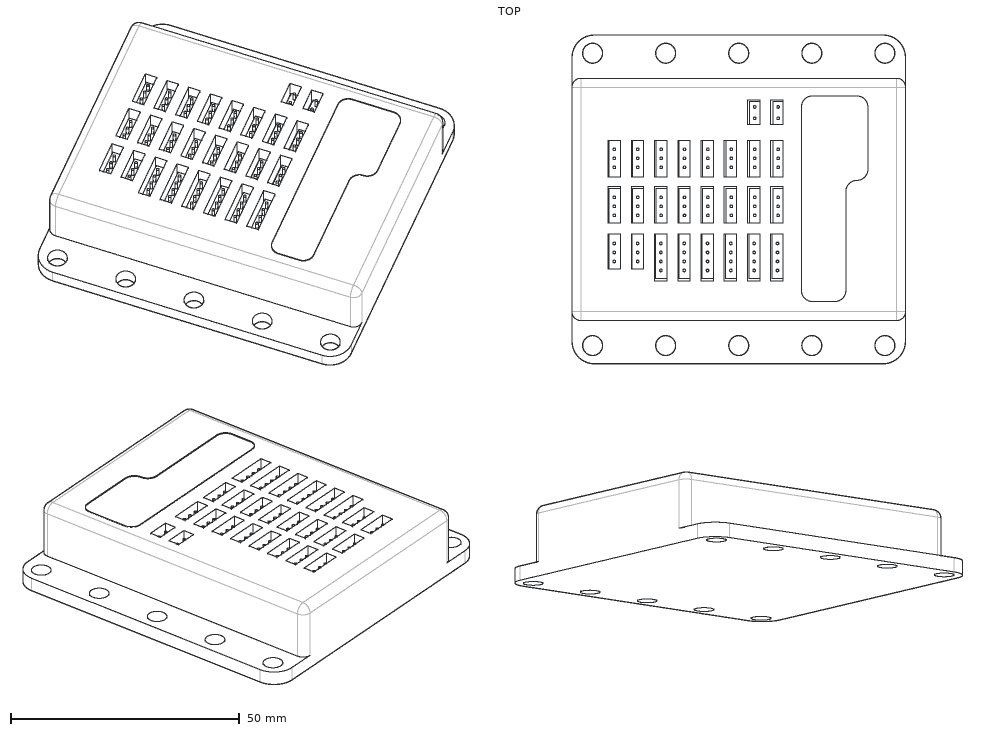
import cadquery as cq

plate_length = 73.0
plate_width = 72.0
plate_thickness = 3.2
plate_corner_radius = 5.0
mount_hole_diameter = 4.3
mount_hole_pitch = 16.0
mount_hole_columns = 5
mount_row_spacing = 63.95

total_height = 16.0
housing_width = 53.0
housing_edge_radius = 2.0

label_left = 13.7
label_right = 28.25
label_bottom = -22.35
label_top = 22.6
label_radius = 2.4
label_step_width = 2 * label_radius
label_step_y = 4.15
label_depth = 0.2

slot_width = 2.7
slot_columns = 8
first_slot_x = -27.2
last_slot_x = 8.3
slot_column_pitch = (last_slot_x - first_slot_x) / (slot_columns - 1)

connector_depth = 3.0
gap_depth = 4.4
last_connector_x = 8.6
last_low_connector_x = 8.5
connector_pitch = (last_connector_x - first_slot_x) / (slot_columns - 1)
low_connector_pitch = (last_low_connector_x - first_slot_x) / (slot_columns - 1)
pin_to_connector_side = 1.2
pin_diameter = 0.6
pin_top_depth = 1.2
fine_pin_pitch = 2.0
coarse_pin_pitch = 2.5

slot_rows = [
    dict(columns=range(6, slot_columns), top=21.75, height=5.3, gap_above=0.4, gap_below=0,
         pins=2, first_pin_y=20.2, pin_pitch=coarse_pin_pitch, column_pitch=connector_pitch),
    dict(columns=range(slot_columns), top=12.85, height=7.95, gap_above=0, gap_below=0,
         pins=3, first_pin_y=10.95, pin_pitch=fine_pin_pitch, column_pitch=connector_pitch),
    dict(columns=range(slot_columns), top=2.8, height=7.95, gap_above=0.4, gap_below=0,
         pins=3, first_pin_y=0.45, pin_pitch=fine_pin_pitch, column_pitch=connector_pitch),
    dict(columns=range(2), top=-7.5, height=7.75, gap_above=0, gap_below=0,
         pins=3, first_pin_y=-9.6, pin_pitch=fine_pin_pitch, column_pitch=low_connector_pitch),
    dict(columns=range(2, slot_columns), top=-7.5, height=10.4, gap_above=0, gap_below=0.6,
         pins=4, first_pin_y=-9.6, pin_pitch=fine_pin_pitch, column_pitch=low_connector_pitch),
]


def make_plate():
    """Rounded plate with a row of through holes along each exposed edge."""
    plate = (
        cq.Workplane("XY")
        .box(plate_length, plate_width, plate_thickness, centered=(True, True, False))
        .edges("|Z")
        .fillet(plate_corner_radius)
    )
    return (
        plate.faces(">Z")
        .workplane()
        .rarray(mount_hole_pitch, mount_row_spacing, mount_hole_columns, 2)
        .hole(mount_hole_diameter)
    )


def make_housing():
    """Block with rounded upright and top edges."""
    housing = cq.Workplane("XY").box(
        plate_length, housing_width, total_height - plate_thickness, centered=(True, True, False)
    )
    housing = housing.edges("|Z or >Z").fillet(housing_edge_radius)
    return housing.translate((0, 0, plate_thickness))


def make_label_recess():
    r = label_radius
    narrow_right = label_right - label_step_width
    return (
        cq.Workplane("XY", origin=(0, 0, total_height))
        .moveTo(label_left + r, label_bottom)
        .lineTo(narrow_right - r, label_bottom)
        .radiusArc((narrow_right, label_bottom + r), -r)
        .lineTo(narrow_right, label_step_y - r)
        .radiusArc((narrow_right + r, label_step_y), r)
        .radiusArc((label_right, label_step_y + r), -r)
        .lineTo(label_right, label_top - r)
        .radiusArc((label_right - r, label_top), -r)
        .lineTo(label_left + r, label_top)
        .radiusArc((label_left, label_top - r), -r)
        .lineTo(label_left, label_bottom + r)
        .radiusArc((label_left + r, label_bottom), -r)
        .close()
        .extrude(-label_depth)
    )


def pocket(left, right, bottom, top, depth):
    """Rectangular cutter reaching down from the housing top."""
    return (
        cq.Workplane("XY", origin=(0, 0, total_height - depth))
        .moveTo((left + right) / 2, (bottom + top) / 2)
        .rect(right - left, top - bottom)
        .extrude(depth)
    )


def make_slot(row, column):
    """Cutter for one slot that leaves the connector and its pins standing inside."""
    slot_x = first_slot_x + column * slot_column_pitch
    pin_x = first_slot_x + column * row["column_pitch"]
    left = slot_x - slot_width / 2
    right = slot_x + slot_width / 2
    bottom = row["top"] - row["height"]

    slot = pocket(left, right, bottom, row["top"], gap_depth)
    connector = pocket(
        pin_x - pin_to_connector_side,
        right,
        bottom + row["gap_below"],
        row["top"] - row["gap_above"],
        gap_depth,
    ).cut(pocket(left, right, bottom, row["top"], connector_depth))
    pin_places = [(pin_x, row["first_pin_y"] - i * row["pin_pitch"]) for i in range(row["pins"])]
    pins = (
        cq.Workplane("XY", origin=(0, 0, total_height - gap_depth))
        .pushPoints(pin_places)
        .circle(pin_diameter / 2)
        .extrude(gap_depth - pin_top_depth)
    )
    return slot.cut(connector).cut(pins)


result = make_plate().union(make_housing()).cut(make_label_recess())
for slot_row in slot_rows:
    for slot_column in slot_row["columns"]:
        result = result.cut(make_slot(slot_row, slot_column))